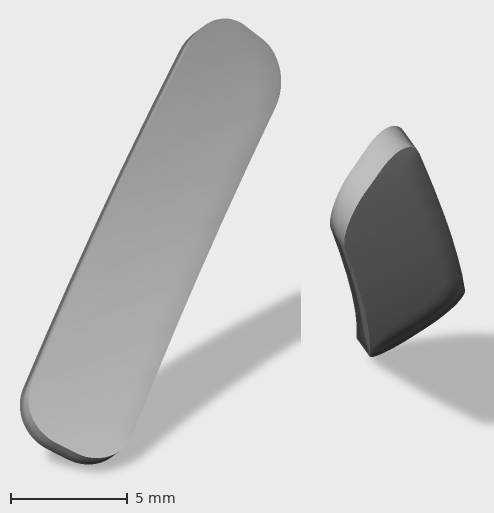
import cadquery as cq
import math


outline_length = 20.0
outline_width = 5.0
corner_radius = 2.0
outline_turn = -45

outer_radius = 28.0
shell_thickness = 1.0
inner_radius = outer_radius - shell_thickness
axis_x = 22.2
axis_z = 14.13

punch_direction = cq.Vector(1, 0, 1)
downhill_direction = cq.Vector(1, 0, -1)
punch_start = 9.61
punch_depth = 19.22
shell_width = 19.22


def shell():
    """Tube around an axis parallel to Y, wider than the outline's extent along Y."""
    section = cq.Workplane("XZ").center(axis_x, axis_z).circle(outer_radius).circle(inner_radius)
    return section.extrude(shell_width / 2, both=True)


def punch():
    """Straight bar with the rounded outline, tilted so that its axis runs along +X +Z."""
    start = punch_direction.normalized() * -punch_start
    plane = cq.Plane(origin=start.toTuple(), xDir=downhill_direction.toTuple(),
                     normal=punch_direction.toTuple())
    bar = (
        cq.Workplane(plane)
        .transformed(rotate=(0, 0, outline_turn))
        .rect(outline_length, outline_width)
        .extrude(punch_depth)
    )
    bar_corners = cq.selectors.ParallelDirSelector(punch_direction)
    return bar.edges(bar_corners).fillet(corner_radius)


result = shell().intersect(punch())